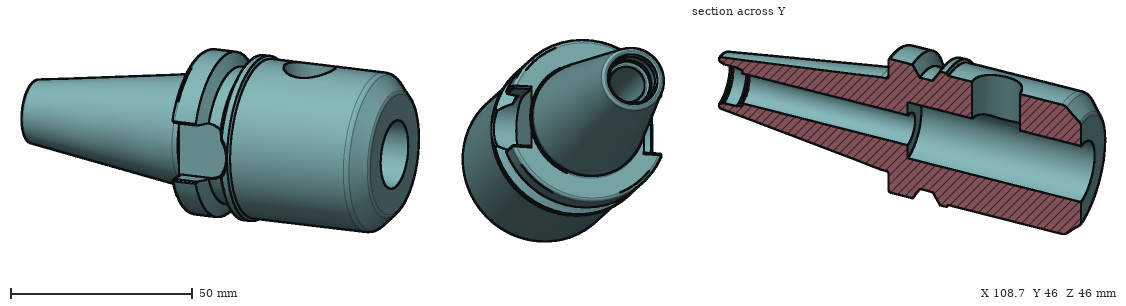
import cadquery as cq
import math

total_length = 108.74

taper_length = 48.7
taper_ratio = 7 / 24
gauge_diameter = 31.87
small_end_diameter = gauge_diameter - taper_ratio * taper_length
small_end_fillet = 0.9
root_fillet = 0.45
gauge_land_length = 2.1

flange_start = taper_length + gauge_land_length
flange_diameter = 46.0
flange_length = 7.35
flange_fillet = 1.0
groove_diameter = 38.3
groove_floor_width = 3.8
groove_wall_angle = 30.0
collar_length = 1.95
collar_cone_length = 0.6

body_diameter = 44.45
nose_chamfer = 4.9
nose_fillet = 2.0
nose_edge_fillet = 1.5

slot_width = 16.1
slot_floor_height = 16.0
slot_center_x = 59.75
slot_edge_chamfer = 0.6

bore_diameter = 19.05
bore_depth = 52.0
thread_diameter = 10.11
pilot_diameter = 12.5
pilot_depth = 7.0
pilot_floor_fillet = 0.6
relief_diameter = 13.1
relief_depth = 5.4
mouth_cone_diameter = 14.1
mouth_lip_radius = 0.65
hole_cone_angle = 30.0

screw_diameter = 14.35
screw_x = 83.2

gauge_radius = gauge_diameter / 2
flange_radius = flange_diameter / 2
groove_radius = groove_diameter / 2
body_radius = body_diameter / 2
groove_wall_run = (flange_radius - groove_radius) * math.tan(math.radians(groove_wall_angle))
groove_start = flange_start + flange_length
floor_start = groove_start + groove_wall_run
floor_end = floor_start + groove_floor_width
collar_start = floor_end + groove_wall_run
collar_end = collar_start + collar_length
collar_base = collar_end + collar_cone_length
collar_stock_end = collar_base + 1.0

tolerance = 0.01


def revolve_about_x(profile):
    return profile.close().revolve(360, (0, 0, 0), (1, 0, 0))


def fillet_rim(body, x, fillet_radius):
    """Round the circular edge that lies in the plane at x."""
    slab = cq.selectors.BoxSelector(
        (x - tolerance, -flange_diameter, -flange_diameter),
        (x + tolerance, flange_diameter, flange_diameter),
        boundingbox=True,
    )
    return body.edges(slab).fillet(fillet_radius)


def make_body():
    """Solid of revolution: taper, flange, groove, collar stock and nose."""
    profile = (
        cq.Workplane("XY")
        .lineTo(0, small_end_diameter / 2)
        .lineTo(taper_length, gauge_radius)
        .lineTo(flange_start - root_fillet, gauge_radius)
        .radiusArc((flange_start, gauge_radius + root_fillet), -root_fillet)
        .lineTo(flange_start, flange_radius - flange_fillet)
        .radiusArc((flange_start + flange_fillet, flange_radius), flange_fillet)
        .lineTo(groove_start, flange_radius)
        .lineTo(floor_start, groove_radius)
        .lineTo(floor_end, groove_radius)
        .lineTo(collar_start, flange_radius)
        .lineTo(collar_stock_end, flange_radius)
        .lineTo(collar_stock_end, body_radius)
        .lineTo(total_length - nose_chamfer, body_radius)
        .lineTo(total_length, body_radius - nose_chamfer)
        .lineTo(total_length, 0)
    )
    body = revolve_about_x(profile)
    body = fillet_rim(body, 0, small_end_fillet)
    body = fillet_rim(body, total_length - nose_chamfer, nose_fillet)
    return fillet_rim(body, total_length, nose_edge_fillet)


def cut_slot(body, side):
    """Flat-floored slot, open at the flange face and round at its end; side is -1 or 1 along Y."""
    half_width = slot_width / 2
    cutter = (
        cq.Workplane("XZ", origin=(0, side * slot_floor_height, 0))
        .moveTo(flange_start, -half_width)
        .lineTo(slot_center_x, -half_width)
        .radiusArc((slot_center_x, half_width), -half_width)
        .lineTo(flange_start, half_width)
        .close()
        .extrude(-side * flange_radius)
    )
    return body.cut(cutter)


def on_slot_wall(point):
    """True where a point lies on the straight or round wall of a slot."""
    run_in = max(point.x - slot_center_x, 0)
    return abs(math.hypot(run_in, point.z) - slot_width / 2) < tolerance


def is_slot_rim(edge):
    """True for slot wall edges on the flange face, its fillet, or the outer cylinder."""
    points = [edge.positionAt(fraction) for fraction in (0, 0.25, 0.5, 0.75, 1)]
    if not all(on_slot_wall(point) for point in points):
        return False
    middle = edge.positionAt(0.5)
    on_floor = abs(abs(middle.y) - slot_floor_height) < tolerance
    on_outside = abs(math.hypot(middle.y, middle.z) - flange_radius) < tolerance
    on_flange_front = middle.x < flange_start + flange_fillet
    return not on_floor and (on_outside or on_flange_front)


def chamfer_slot_rims(body):
    rims = [edge for edge in body.edges().vals() if is_slot_rim(edge)]
    return body.newObject(rims).chamfer(slot_edge_chamfer)


def trim_collar(body):
    """Cut the back of the collar stock down to its cone."""
    waste = (
        cq.Workplane("XY")
        .moveTo(collar_end, flange_radius)
        .lineTo(collar_base, body_radius)
        .lineTo(collar_stock_end, body_radius)
        .lineTo(collar_stock_end, flange_diameter)
        .lineTo(collar_end, flange_diameter)
    )
    return body.cut(revolve_about_x(waste))


def cut_axial_holes(body):
    """Stepped drawbar hole from the small end and plain tool bore from the nose."""
    mouth_radius = mouth_cone_diameter / 2
    relief_radius = relief_diameter / 2
    pilot_radius = pilot_diameter / 2
    cone_slope = math.tan(math.radians(hole_cone_angle))
    mouth_cone_end = mouth_lip_radius + (mouth_radius - relief_radius) / cone_slope
    relief_cone_end = relief_depth + (relief_radius - pilot_radius) / cone_slope
    bore_start = total_length - bore_depth
    profile = (
        cq.Workplane("XY")
        .lineTo(0, mouth_radius + mouth_lip_radius)
        .radiusArc((mouth_lip_radius, mouth_radius), -mouth_lip_radius)
        .lineTo(mouth_cone_end, relief_radius)
        .lineTo(relief_depth, relief_radius)
        .lineTo(relief_cone_end, pilot_radius)
        .lineTo(pilot_depth - pilot_floor_fillet, pilot_radius)
        .radiusArc((pilot_depth, pilot_radius - pilot_floor_fillet), pilot_floor_fillet)
        .lineTo(pilot_depth, thread_diameter / 2)
        .lineTo(bore_start, thread_diameter / 2)
        .lineTo(bore_start, bore_diameter / 2)
        .lineTo(total_length, bore_diameter / 2)
        .lineTo(total_length, 0)
    )
    return body.cut(revolve_about_x(profile))


def cut_screw_hole(body):
    """Set screw hole from the top into the tool bore."""
    hole = cq.Workplane("XY", origin=(screw_x, 0, 0)).circle(screw_diameter / 2).extrude(flange_radius)
    return body.cut(hole)


result = make_body()
for side in (-1, 1):
    result = cut_slot(result, side)
result = chamfer_slot_rims(result)
result = trim_collar(result)
result = cut_axial_holes(result)
result = cut_screw_hole(result)